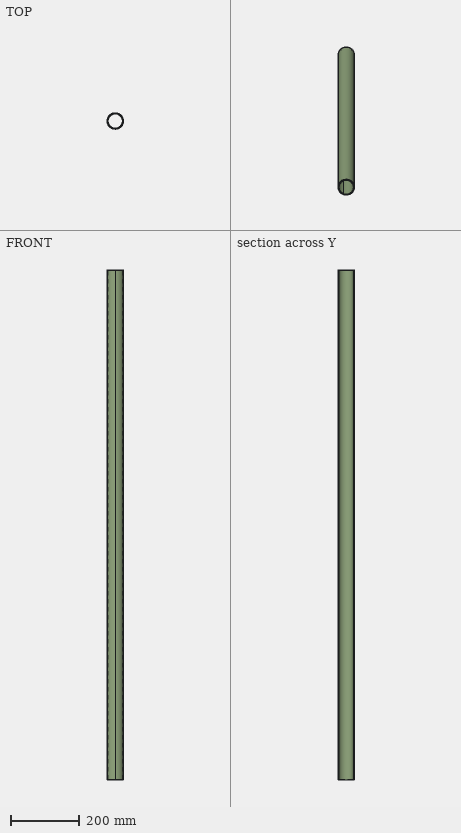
import cadquery as cq

outer_diameter = 48.3
wall_thickness = 3.2
length = 1500.0
foot_chamfer = 1.5
joint_gap = 0.1

outer_radius = outer_diameter / 2
inner_radius = outer_radius - wall_thickness


def tube_body():
    """Round tube standing on Z = 0; the lower outer rim is chamfered."""
    bore = cq.Workplane("XY").circle(inner_radius).extrude(length)
    shell = cq.Workplane("XY").circle(outer_radius).extrude(length)
    shell = shell.faces("<Z").edges().chamfer(foot_chamfer)
    return shell.cut(bore).rotate((0, 0, 0), (0, 0, 1), -90)


def joint_slit():
    """Thin full-length slit through the wall on the -Y side, with one edge on X = 0."""
    slit = cq.Workplane("XY").box(joint_gap, outer_radius, length, centered=(False, False, False))
    return slit.translate((0, -outer_radius, 0))


result = tube_body().cut(joint_slit())